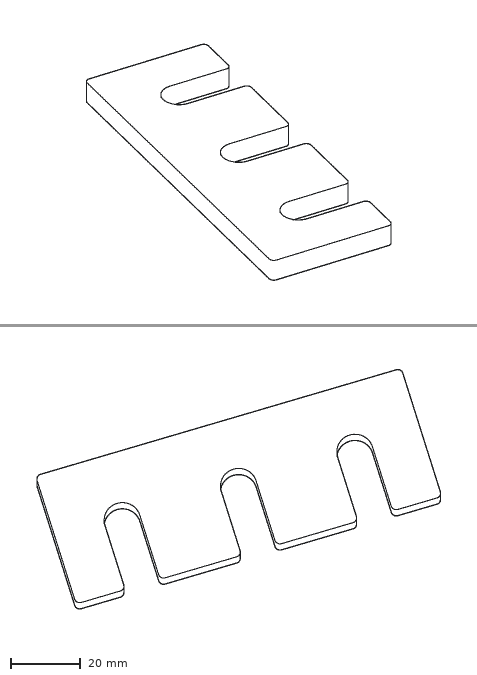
import cadquery as cq

length = 110.0
width = 40.0
thickness = 6.8
corner_radius = 1.5

slot_count = 3
slot_pitch = 35.0
slot_width = 10.5
slot_depth = 25.3

slot_radius = slot_width / 2
back_edge_y = width / 2
slot_center_y = back_edge_y - slot_depth + slot_radius
first_slot_x = -slot_pitch * (slot_count - 1) / 2


def slot_cutter(center_x):
    """Round-bottomed slot that opens through the +Y edge."""
    return (
        cq.Workplane("XY")
        .moveTo(center_x - slot_radius, back_edge_y)
        .lineTo(center_x - slot_radius, slot_center_y)
        .threePointArc(
            (center_x, slot_center_y - slot_radius),
            (center_x + slot_radius, slot_center_y),
        )
        .lineTo(center_x + slot_radius, back_edge_y)
        .close()
        .extrude(thickness)
    )


plate = cq.Workplane("XY").box(length, width, thickness, centered=(True, True, False))
for index in range(slot_count):
    plate = plate.cut(slot_cutter(first_slot_x + index * slot_pitch))

mouth_and_back_corners = plate.faces(">Y").edges("|Z")
front_corners = plate.faces("<Y").edges("|Z")
result = plate.newObject(mouth_and_back_corners.vals() + front_corners.vals()).fillet(corner_radius)